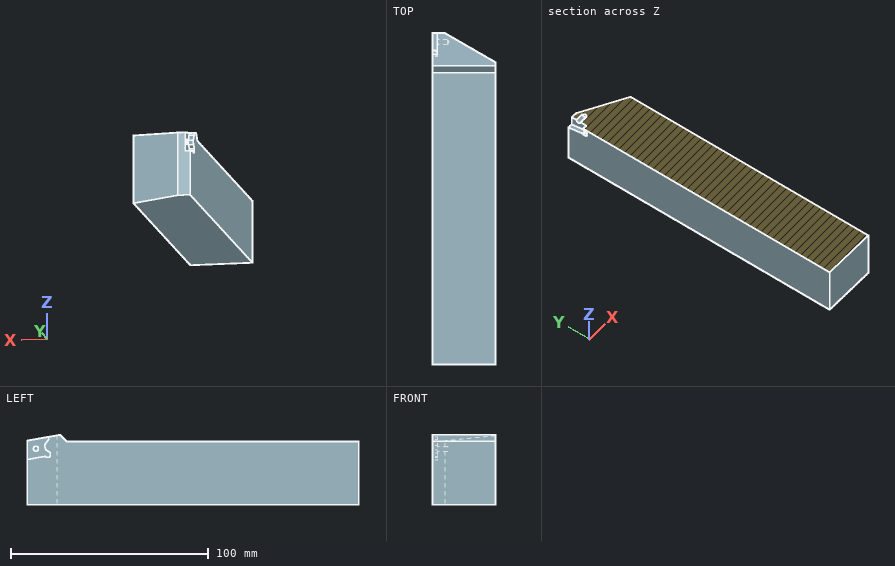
import cadquery as cq
import math

SHANK_WIDTH = 32.0
SHANK_HEIGHT = 32.0
TOTAL_LENGTH = 167.5

HEAD_HEIGHT = 35.38
PEAK_DISTANCE = 16.65
TOP_SLOPE = math.radians(10.0)
BACK_SLOPE = math.radians(45.0)

NOSE_WIDTH = 6.3
RELIEF_ANGLE = math.radians(30.0)

POCKET_DEPTH = 2.6
FLOOR_FRONT_HEIGHT = 22.85
FLOOR_LENGTH = 9.0
FLOOR_SLOPE = TOP_SLOPE

CORNER_BOTTOM = 24.0
CORNER_TOP = 26.3
CORNER_START = 9.6
CORNER_END = 11.7
CORNER_BEVEL = 0.5

SEAT_NOSE_BOTTOM = (9.3, 27.9)
SEAT_NOSE_TOP = (8.75, 30.1)
SEAT_TOP = (10.8, 33.0)

SCREW_DIAMETER = 2.5
SCREW_DEPTH = 5.0
SCREW_DISTANCE = 4.4
SCREW_HEIGHT = 28.3
DRILL_POINT_ANGLE = math.radians(118.0)


def side_prism(points, width):
    """Extrude an outline of (distance back from the +Y end, height) points from the -X side."""
    outline = [(TOTAL_LENGTH - back, height) for back, height in points]
    return cq.Workplane("YZ").polyline(outline).close().extrude(width)


def make_body():
    tip_height = HEAD_HEIGHT - PEAK_DISTANCE * math.tan(TOP_SLOPE)
    head_length = PEAK_DISTANCE + (HEAD_HEIGHT - SHANK_HEIGHT) / math.tan(BACK_SLOPE)
    profile = [
        (0, 0),
        (0, tip_height),
        (PEAK_DISTANCE, HEAD_HEIGHT),
        (head_length, SHANK_HEIGHT),
        (TOTAL_LENGTH, SHANK_HEIGHT),
        (TOTAL_LENGTH, 0),
    ]
    return side_prism(profile, SHANK_WIDTH)


def make_nose_relief():
    relief_length = (SHANK_WIDTH - NOSE_WIDTH) * math.tan(RELIEF_ANGLE)
    corners = [
        (NOSE_WIDTH, TOTAL_LENGTH),
        (SHANK_WIDTH, TOTAL_LENGTH),
        (SHANK_WIDTH, TOTAL_LENGTH - relief_length),
    ]
    return cq.Workplane("XY").polyline(corners).close().extrude(HEAD_HEIGHT)


def make_insert_pocket():
    floor_back_height = FLOOR_FRONT_HEIGHT + FLOOR_LENGTH * math.tan(FLOOR_SLOPE)
    outline = [
        (0, FLOOR_FRONT_HEIGHT),
        (FLOOR_LENGTH, floor_back_height),
        (CORNER_START, CORNER_BOTTOM),
        (CORNER_END - CORNER_BEVEL, CORNER_BOTTOM),
        (CORNER_END, CORNER_BOTTOM + CORNER_BEVEL),
        (CORNER_END, CORNER_TOP),
        SEAT_NOSE_BOTTOM,
        SEAT_NOSE_TOP,
        SEAT_TOP,
        (SEAT_TOP[0], HEAD_HEIGHT),
        (0, HEAD_HEIGHT),
    ]
    return side_prism(outline, POCKET_DEPTH)


def make_screw_hole():
    radius = SCREW_DIAMETER / 2
    hole_end = POCKET_DEPTH + SCREW_DEPTH
    drill_point = hole_end + radius / math.tan(DRILL_POINT_ANGLE / 2)
    half_section = [(0, 0), (0, radius), (hole_end, radius), (drill_point, 0)]
    hole = cq.Workplane("XY").polyline(half_section).close().revolve(360, (0, 0), (1, 0))
    return hole.translate((0, TOTAL_LENGTH - SCREW_DISTANCE, SCREW_HEIGHT))


result = make_body().cut(make_nose_relief()).cut(make_insert_pocket()).cut(make_screw_hole())